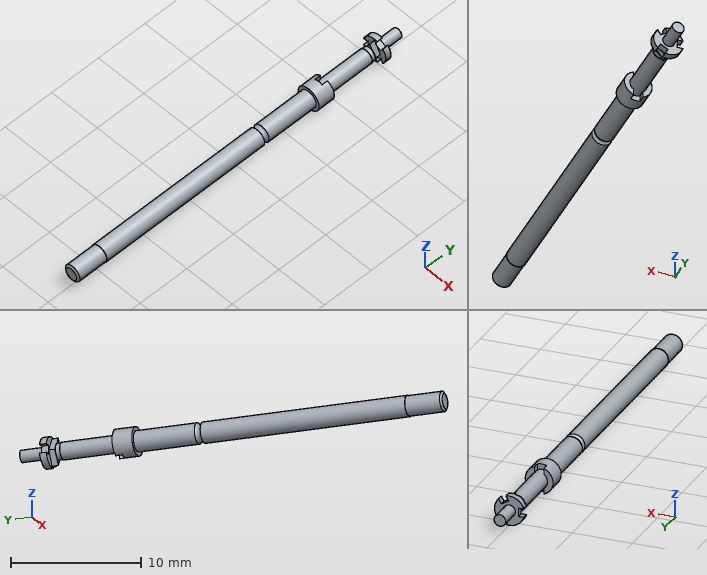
import cadquery as cq
import math

LENGTH = 35.0
TAIL_END = 3.0
GROOVE_START = 19.9
GROOVE_END = 20.4
COLLAR_START = 25.45
COLLAR_END = 27.1
NECK_START = 31.6
WEDGE_START = 32.0
FLANGE_START = 32.5
FLANGE_END = 33.08

TAIL_DIAMETER = 1.6
BARREL_DIAMETER = 1.68
COLLAR_DIAMETER = 2.3
STEM_DIAMETER = 1.4
NECK_DIAMETER = 1.33
FLANGE_DIAMETER = 2.5
TIP_DIAMETER = 0.98

TAIL_CHAMFER_LENGTH = 0.15
TAIL_CHAMFER_DEPTH = 0.2

GROOVE_DEPTH = 0.15

SLOT_WIDTH = 0.77
SLOT_LENGTH = 0.55

NOTCH_WIDTH = 0.7
NOTCH_FLOOR_RADIUS = 0.75
NOTCH_ANGLES = (60, 180, 300)

WEDGE_TIP_ANGLE = 60
WEDGE_HALF_HEIGHT = 1.12
WEDGE_HALF_WIDTH = WEDGE_HALF_HEIGHT * math.tan(math.radians(WEDGE_TIP_ANGLE / 2))


def plane_at(y):
    """Sketch plane across the pin at station y, extruding toward the tip."""
    return cq.Plane(origin=(0, y, 0), xDir=(-1, 0, 0), normal=(0, 1, 0))


def rod(diameter, start, end):
    """Round section between two stations."""
    return cq.Workplane(plane_at(start)).circle(diameter / 2).extrude(end - start)


def make_tail():
    """Tail rod revolved around the Y axis, with a chamfered end."""
    radius = TAIL_DIAMETER / 2
    return (
        cq.Workplane("XY")
        .lineTo(radius - TAIL_CHAMFER_DEPTH, 0)
        .lineTo(radius, TAIL_CHAMFER_LENGTH)
        .lineTo(radius, TAIL_END)
        .lineTo(0, TAIL_END)
        .close()
        .revolve(360, (0, 0, 0), (0, 1, 0))
    )


def make_barrel():
    """Barrel profile revolved around the Y axis, with a shallow concave arc as the groove."""
    radius = BARREL_DIAMETER / 2
    groove_middle = (GROOVE_START + GROOVE_END) / 2
    return (
        cq.Workplane("XY")
        .moveTo(0, TAIL_END)
        .lineTo(radius, TAIL_END)
        .lineTo(radius, GROOVE_START)
        .threePointArc((radius - GROOVE_DEPTH, groove_middle), (radius, GROOVE_END))
        .lineTo(radius, COLLAR_START)
        .lineTo(0, COLLAR_START)
        .close()
        .revolve(360, (0, 0, 0), (0, 1, 0))
    )


def make_collar():
    """Collar with two opposite slots reaching down to the stem surface."""
    collar = rod(COLLAR_DIAMETER, COLLAR_START, COLLAR_END)
    slot_start = COLLAR_END - SLOT_LENGTH
    slots = (
        cq.Workplane(plane_at(slot_start))
        .rect(SLOT_WIDTH, COLLAR_DIAMETER)
        .extrude(SLOT_LENGTH)
        .cut(rod(STEM_DIAMETER, slot_start, COLLAR_END))
    )
    return collar.cut(slots)


def make_wedge():
    """Rhombic prism that merges into the back of the flange."""
    return (
        cq.Workplane(plane_at(WEDGE_START))
        .polyline([
            (WEDGE_HALF_WIDTH, 0),
            (0, WEDGE_HALF_HEIGHT),
            (-WEDGE_HALF_WIDTH, 0),
            (0, -WEDGE_HALF_HEIGHT),
        ])
        .close()
        .extrude(FLANGE_START - WEDGE_START)
    )


def make_flange():
    """Thin flange with three evenly spaced flat-bottomed rim notches."""
    flange = rod(FLANGE_DIAMETER, FLANGE_START, FLANGE_END)
    notch_depth = FLANGE_DIAMETER / 2 - NOTCH_FLOOR_RADIUS
    notch = (
        cq.Workplane("XY")
        .box(notch_depth, FLANGE_END - FLANGE_START, NOTCH_WIDTH, centered=(False, False, True))
        .translate((NOTCH_FLOOR_RADIUS, FLANGE_START, 0))
    )
    for angle in NOTCH_ANGLES:
        flange = flange.cut(notch.rotate((0, 0, 0), (0, 1, 0), angle))
    return flange


result = (
    make_tail()
    .union(make_barrel())
    .union(make_collar())
    .union(rod(STEM_DIAMETER, COLLAR_END, NECK_START))
    .union(rod(NECK_DIAMETER, NECK_START, WEDGE_START))
    .union(make_wedge())
    .union(make_flange())
    .union(rod(TIP_DIAMETER, FLANGE_END, LENGTH))
)